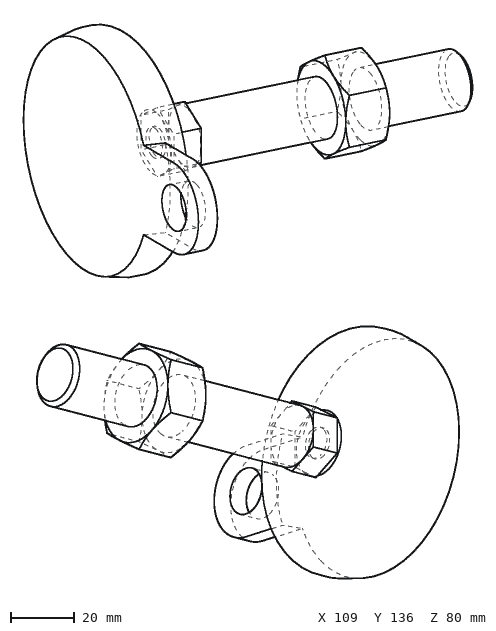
import cadquery as cq
import math

total_length = 136.0

pad_radius = 40.0
sole_radius = 38.4
taper_height = 7.8
rim_height = 11.2
shoulder_radius = 36.2
shoulder_height = 15.1
flare_mid_radius = 19.5
flare_mid_height = 19.6
crown_radius = 11.3
crown_edge_height = 24.2
crown_top_radius = 10.6
crown_height = 24.8

lug_end_radius = 15.0
lug_hole_diameter = 15.0
lug_thickness = 7.0
lug_center_x = 109.0 - pad_radius - lug_end_radius

stud_diameter = 20.0
stud_chamfer = 1.5
neck_diameter = 10.0
wrench_start = 26.0
wrench_length = 10.0
wrench_flats = stud_diameter

nut_flats = 30.0
nut_start = 85.8
nut_height = 16.0
nut_chamfer_angle = 30.0


def section_at(height):
    """Workplane across the stud axis whose normal points along +Y."""
    return cq.Workplane("XZ", origin=(0, height, 0)).transformed(rotate=(180, 0, 0))


def cylinder(diameter, start, length):
    return section_at(start).circle(diameter / 2).extrude(length)


def hexagon(across_flats, start, length):
    """Hexagonal prism with flats facing +X and -X."""
    across_corners = across_flats / math.cos(math.radians(30))
    prism = section_at(start).polygon(6, across_corners).extrude(length)
    return prism.rotate((0, 0, 0), (0, 1, 0), 30)


def make_pad():
    """Revolved pad: tapered edge, rounded rim and concave flare up to the crown."""
    rim_drop = shoulder_height - rim_height
    rim_inset = pad_radius - shoulder_radius
    rim_mid_radius = shoulder_radius + rim_inset * math.cos(math.radians(45))
    rim_mid_height = rim_height + rim_drop * math.sin(math.radians(45))
    return (
        cq.Workplane("XY")
        .lineTo(sole_radius, 0)
        .lineTo(pad_radius, taper_height)
        .lineTo(pad_radius, rim_height)
        .threePointArc((rim_mid_radius, rim_mid_height), (shoulder_radius, shoulder_height))
        .threePointArc((flare_mid_radius, flare_mid_height), (crown_radius, crown_edge_height))
        .lineTo(crown_top_radius, crown_height)
        .lineTo(0, crown_height)
        .close()
        .revolve(360, (0, 0, 0), (0, 1, 0))
    )


def make_lug():
    """Flat tongue from the pad center to a rounded end with a through hole."""
    tongue = (
        section_at(0)
        .center(lug_center_x / 2, 0)
        .rect(lug_center_x, 2 * lug_end_radius)
        .extrude(lug_thickness)
    )
    rounded_end = cylinder(2 * lug_end_radius, 0, lug_thickness).translate((lug_center_x, 0, 0))
    hole = cylinder(lug_hole_diameter, 0, lug_thickness).translate((lug_center_x, 0, 0))
    return tongue.union(rounded_end).cut(hole)


def make_stud():
    """Chamfered stud with a wrench hexagon and a thin neck entering the pad."""
    wrench_end = wrench_start + wrench_length
    rod = cylinder(stud_diameter, wrench_end, total_length - wrench_end)
    rod = rod.faces(">Y").chamfer(stud_chamfer)
    wrench = hexagon(wrench_flats, wrench_start, wrench_length)
    neck = cylinder(neck_diameter, crown_height, wrench_start - crown_height)
    return rod.union(wrench).union(neck)


def make_nut():
    """Hexagon nut whose corners are trimmed by a cone at each end."""
    corner_radius = nut_flats / 2 / math.cos(math.radians(30))
    face_radius = nut_flats / 2
    chamfer_height = (corner_radius - face_radius) * math.tan(math.radians(nut_chamfer_angle))
    envelope = (
        cq.Workplane("XY")
        .moveTo(0, nut_start)
        .lineTo(face_radius, nut_start)
        .lineTo(corner_radius, nut_start + chamfer_height)
        .lineTo(corner_radius, nut_start + nut_height - chamfer_height)
        .lineTo(face_radius, nut_start + nut_height)
        .lineTo(0, nut_start + nut_height)
        .close()
        .revolve(360, (0, 0, 0), (0, 1, 0))
    )
    return hexagon(nut_flats, nut_start, nut_height).intersect(envelope)


result = make_pad().union(make_lug()).union(make_stud()).union(make_nut())